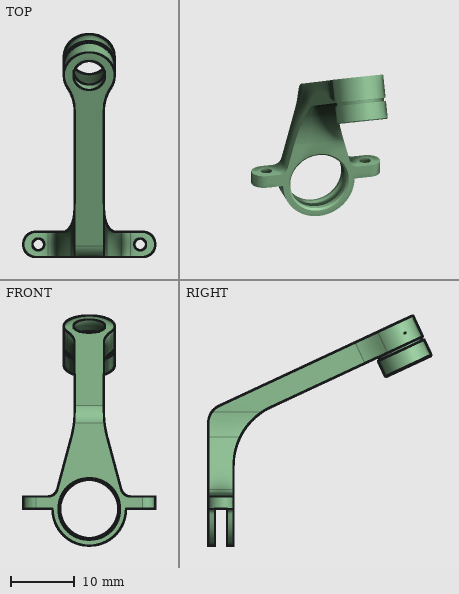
import cadquery as cq
import math

depth = 4.02
ring_radius = 5.8
bore_radius = 4.55
bore_chamfer = 0.3
ring_wall = 1.1

ear_reach = 10.4
ear_height = 2.0
ear_end_radius = depth / 2
ear_hole_offset = 8.0
ear_hole_radius = 0.9
ear_fillet = 1.5

arm_half_width = 2.3
taper_angle = math.radians(15)
taper_blend_radius = 15.0
taper_top = 15.2

arm_tilt = 25.0
tilt = math.radians(arm_tilt)
arm_thickness = 3.65
bend_start = 13.5
bend_outer_radius = 3.0
bend_inner_radius = 10.0
head_distance = 29.6

head_radius = 4.02
neck_fillet = 7.5
groove_radius = 3.73
groove_height = 0.55
head_height = 7.0
disc_chamfer = 0.15
head_bore_radius = 2.5
head_bore_depth = 2.0
counterbore_radius = 3.0

bend_end_y = bend_outer_radius * (1 - math.sin(tilt))
bend_end_z = bend_start + bend_outer_radius * math.cos(tilt)
head_y = bend_end_y + head_distance * math.cos(tilt)
head_z = bend_end_z + head_distance * math.sin(tilt)


def arc_point(center_x, center_y, radius, angle):
    return (center_x + radius * math.cos(angle), center_y + radius * math.sin(angle))


def front_outline():
    """Web and arm outline in XZ, open down to the ring's axis."""
    blend_x = arm_half_width + taper_blend_radius
    blend_mid = arc_point(blend_x, taper_top, taper_blend_radius, math.pi + taper_angle / 2)
    blend_low = arc_point(blend_x, taper_top, taper_blend_radius, math.pi + taper_angle)

    fillet_z = ear_height + ear_fillet
    taper_foot_z = fillet_z - ear_fillet * math.sin(taper_angle)
    taper_foot_x = blend_low[0] + (blend_low[1] - taper_foot_z) * math.tan(taper_angle)
    fillet_x = taper_foot_x + ear_fillet * math.cos(taper_angle)
    fillet_start = math.pi + taper_angle
    fillet_middle = (fillet_start + 1.5 * math.pi) / 2
    fillet_mid = arc_point(fillet_x, fillet_z, ear_fillet, fillet_middle)

    return (
        cq.Workplane("XZ")
        .moveTo(0, head_z)
        .lineTo(arm_half_width, head_z)
        .lineTo(arm_half_width, taper_top)
        .threePointArc(blend_mid, blend_low)
        .lineTo(taper_foot_x, taper_foot_z)
        .threePointArc(fillet_mid, (fillet_x, ear_height))
        .lineTo(fillet_x, 0)
        .lineTo(0, 0)
        .close()
        .extrude(-head_y)
    )


def side_profile():
    """Bent web and arm section in YZ, as wide as the ears."""
    arm_low_y = head_y + arm_thickness * math.sin(tilt)
    arm_low_z = head_z - arm_thickness * math.cos(tilt)
    inner_y = depth + bend_inner_radius
    inner_z = (
        arm_low_z
        - (arm_low_y - inner_y) * math.tan(tilt)
        - bend_inner_radius / math.cos(tilt)
    )
    inner_end = arc_point(inner_y, inner_z, bend_inner_radius, math.pi / 2 + tilt)
    bend_middle = (1.5 * math.pi + tilt) / 2
    inner_mid = arc_point(inner_y, inner_z, bend_inner_radius, bend_middle)
    outer_mid = arc_point(bend_outer_radius, bend_start, bend_outer_radius, bend_middle)

    return (
        cq.Workplane("YZ")
        .moveTo(0, 0)
        .lineTo(0, bend_start)
        .threePointArc(outer_mid, (bend_end_y, bend_end_z))
        .lineTo(head_y, head_z)
        .lineTo(arm_low_y, arm_low_z)
        .lineTo(*inner_end)
        .threePointArc(inner_mid, (depth, inner_z))
        .lineTo(depth, 0)
        .close()
        .extrude(ear_reach, both=True)
    )


def web_and_arm():
    half_outline = front_outline()
    outline = half_outline.union(half_outline.mirror("YZ"))
    return outline.intersect(side_profile())


def ears():
    return (
        cq.Workplane("XY")
        .center(0, depth / 2)
        .slot2D(2 * ear_reach, 2 * ear_end_radius)
        .extrude(ear_height)
    )


def ear_holes():
    return (
        cq.Workplane("XY")
        .pushPoints([(side * ear_hole_offset, depth / 2) for side in (-1, 1)])
        .circle(ear_hole_radius)
        .extrude(ear_height)
    )


def ring():
    return cq.Workplane("XZ").circle(ring_radius).extrude(-depth)


def ring_bore():
    """Through bore widened by a chamfer at both faces."""
    wide_radius = bore_radius + bore_chamfer
    return (
        cq.Workplane("XY")
        .polyline([
            (0, 0),
            (wide_radius, 0),
            (bore_radius, bore_chamfer),
            (bore_radius, depth - bore_chamfer),
            (wide_radius, depth),
            (0, depth),
        ])
        .close()
        .revolve(360, (0, 0, 0), (0, 1, 0))
    )


def lower_block(length):
    """Block around the lower half of the ring, running back from y = 0."""
    return (
        cq.Workplane("XY")
        .box(2 * ring_radius, length, ring_radius, centered=(True, False, False))
        .translate((0, 0, -ring_radius))
    )


def ring_slot():
    """Gap that splits the lower half of the ring into two walls."""
    return lower_block(depth - 2 * ring_wall).translate((0, ring_wall, 0))


def front_wall_chamfer():
    """Cone that breaks the lower bore edge of the front wall, on the slot side."""
    wide_radius = bore_radius + bore_chamfer
    return (
        cq.Workplane("XY")
        .polyline([
            (0, ring_wall - bore_chamfer),
            (bore_radius, ring_wall - bore_chamfer),
            (wide_radius, ring_wall),
            (0, ring_wall),
        ])
        .close()
        .revolve(360, (0, 0, 0), (0, 1, 0))
        .intersect(lower_block(ring_wall))
    )


head_plane = cq.Plane(
    origin=(0, head_y, head_z),
    xDir=(1, 0, 0),
    normal=(0, -math.sin(tilt), math.cos(tilt)),
)


def head_cylinder(radius, top, bottom):
    return (
        cq.Workplane(head_plane)
        .workplane(offset=-top)
        .circle(radius)
        .extrude(top - bottom)
    )


def neck():
    """Concave flare from the arm's sides to the round head."""
    flare_x = arm_half_width + neck_fillet
    center_distance = head_radius + neck_fillet
    flare_y = -math.sqrt(center_distance**2 - flare_x**2)
    flare_angle = math.atan2(-flare_y, -flare_x)
    head_touch = arc_point(flare_x, flare_y, neck_fillet, flare_angle)
    flare_mid = arc_point(flare_x, flare_y, neck_fillet, (flare_angle + math.pi) / 2)
    half_neck = (
        cq.Workplane(head_plane)
        .lineTo(*head_touch)
        .threePointArc(flare_mid, (arm_half_width, flare_y))
        .lineTo(0, flare_y)
        .close()
        .extrude(-arm_thickness)
    )
    return half_neck.union(half_neck.mirror("YZ"))


def head():
    disc_top = arm_thickness + groove_height
    disc = head_cylinder(head_radius, disc_top, head_height)
    disc_bottom = cq.selectors.DirectionMinMaxSelector(head_plane.zDir, False)
    disc = disc.faces(disc_bottom).chamfer(disc_chamfer)
    return (
        head_cylinder(head_radius, 0, arm_thickness)
        .union(head_cylinder(groove_radius, arm_thickness, disc_top))
        .union(disc)
    )


def head_bore():
    return head_cylinder(head_bore_radius, 0, head_bore_depth).union(
        head_cylinder(counterbore_radius, head_bore_depth, head_height)
    )


result = (
    ring()
    .union(ears())
    .union(web_and_arm())
    .union(neck())
    .union(head())
    .cut(ring_bore())
    .cut(ring_slot())
    .cut(front_wall_chamfer())
    .cut(ear_holes())
    .cut(head_bore())
)